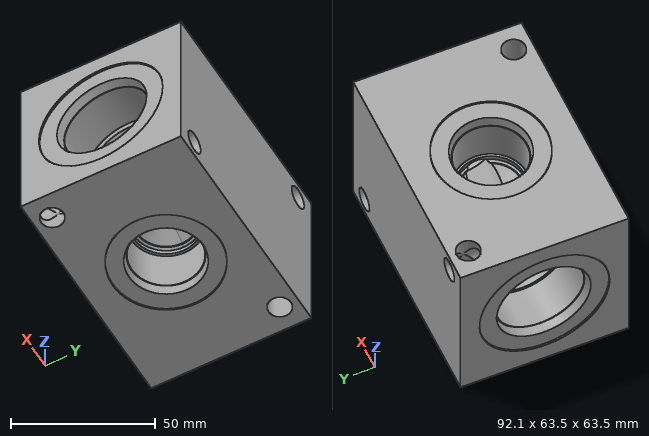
import cadquery as cq
import math

LENGTH = 92.1
SIDE = 63.5

MOUNT_DIAMETER = 8.75
MOUNT_X = 36.5
MOUNT_OFFSET = 24.6

SPOTFACE_DEPTH = 0.7
ENTRY_DEPTH = 4.1
PILOT_LENGTH = 0.5
DRILL_POINT_ANGLE = 118.0
POINT_RISE = 1 / math.tan(math.radians(DRILL_POINT_ANGLE / 2))

END_PORT = (49.1, 35.5, 33.8, 33.3, 31.3, 28.5)
SIDE_PORT = (42.1, 29.2, 27.4, 27.0, 24.95, 22.9)
END_THREAD_DEPTH = 19.8
SIDE_THREAD_DEPTH = 20.3

SIDE_POINT_HEIGHT = 1.75

BREAKTHROUGH_DIAMETER = 3.8
BREAKTHROUGH_X = -12.7
TAPER_END_DIAMETER = 7.7


def mouth_outline(diameters, thread_depth):
    """Half outline (radius, depth) of a port from its face to the floor of the thread bore."""
    spotface, mouth, entry, thread = (diameter / 2 for diameter in diameters[:4])
    return [
        (0, 0),
        (spotface, 0),
        (spotface, SPOTFACE_DEPTH),
        (mouth, SPOTFACE_DEPTH),
        (entry, ENTRY_DEPTH),
        (thread, ENTRY_DEPTH),
        (thread, thread_depth),
    ]


def drilled_outline(diameters, thread_depth, point_depth):
    """Port outline that continues with a drill and a pilot ending at the point depth."""
    drill = diameters[4] / 2
    pilot = diameters[5] / 2
    pilot_end = point_depth - pilot * POINT_RISE
    pilot_start = pilot_end - PILOT_LENGTH
    drill_end = pilot_start - (drill - pilot) * POINT_RISE
    return mouth_outline(diameters, thread_depth) + [
        (drill, thread_depth),
        (drill, drill_end),
        (pilot, pilot_start),
        (pilot, pilot_end),
        (0, point_depth),
    ]


def tapered_outline(diameters, thread_depth, point_depth):
    """Port outline that narrows from the thread bore floor to a small drill point."""
    taper_start = diameters[5] / 2
    taper_end = TAPER_END_DIAMETER / 2
    return mouth_outline(diameters, thread_depth) + [
        (taper_start, thread_depth),
        (taper_end, point_depth - taper_end * POINT_RISE),
        (0, point_depth),
    ]


def port_cutter(outline, face_distance, tilt):
    """Solid of a port entering the top face, tilted about the Y axis to the face it belongs to."""
    points = [(radius, face_distance - depth) for radius, depth in outline]
    profile = cq.Workplane("XZ").polyline(points).close()
    cutter = profile.revolve(360, (0, 0, 0), (0, 1, 0))
    return cutter.rotate((0, 0, 0), (0, 1, 0), tilt)


block = cq.Workplane("XY").box(LENGTH, SIDE, SIDE)

mount_points = [(-MOUNT_X, MOUNT_OFFSET), (MOUNT_X, -MOUNT_OFFSET)]
for plane in ("XY", "XZ"):
    holes = cq.Workplane(plane).pushPoints(mount_points).circle(MOUNT_DIAMETER / 2)
    block = block.cut(holes.extrude(SIDE / 2, both=True))

side_outline = drilled_outline(SIDE_PORT, SIDE_THREAD_DEPTH, SIDE / 2 - SIDE_POINT_HEIGHT)
for tilt in (0, 180):
    block = block.cut(port_cutter(side_outline, SIDE / 2, tilt))

point_overlap = BREAKTHROUGH_DIAMETER / 2 * POINT_RISE
plus_x_depth = LENGTH / 2 - BREAKTHROUGH_X + point_overlap
plus_x_outline = tapered_outline(END_PORT, END_THREAD_DEPTH, plus_x_depth)
block = block.cut(port_cutter(plus_x_outline, LENGTH / 2, 90))

minus_x_depth = LENGTH / 2 + BREAKTHROUGH_X + point_overlap
minus_x_outline = drilled_outline(END_PORT, END_THREAD_DEPTH, minus_x_depth)
block = block.cut(port_cutter(minus_x_outline, LENGTH / 2, -90))

result = block